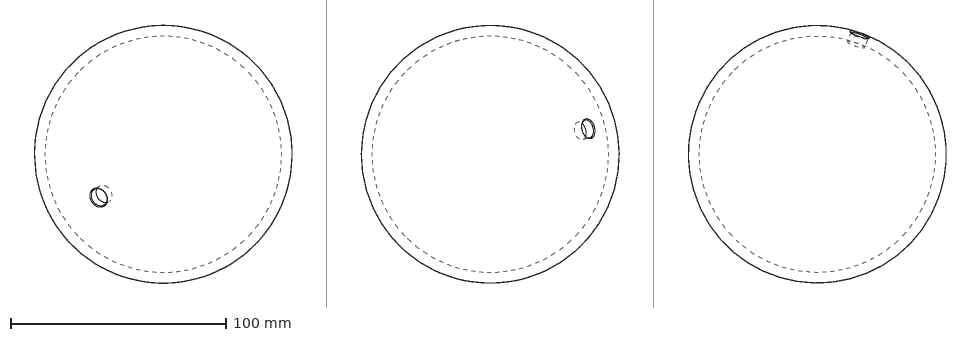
import cadquery as cq
import math

ball_diameter = 120.0
wall_thickness = 5.0
bore_diameter = 8.5
countersink_size = 0.5

ball_radius = ball_diameter / 2
cavity_radius = ball_radius - wall_thickness
bore_radius = bore_diameter / 2
countersink_radius = bore_radius + countersink_size


def make_upper_shell():
    """Hollow hemisphere on the +Z side of the XY plane, with its seam toward -X."""
    half_plane = cq.Plane(origin=(0, 0, 0), xDir=(-1, 0, 0), normal=(0, 1, 0))
    diagonal = math.sqrt(0.5)
    outer_middle = (ball_radius * diagonal, ball_radius * diagonal)
    inner_middle = (cavity_radius * diagonal, cavity_radius * diagonal)
    return (
        cq.Workplane(half_plane)
        .moveTo(cavity_radius, 0)
        .lineTo(ball_radius, 0)
        .threePointArc(outer_middle, (0, ball_radius))
        .lineTo(0, cavity_radius)
        .threePointArc(inner_middle, (cavity_radius, 0))
        .close()
        .revolve(360, (0, 0, 0), (0, 1, 0))
    )


def make_bore():
    """Tool for the bore through the -Y wall, with a countersink at its mouth."""
    mouth_y = -math.sqrt(ball_radius**2 - countersink_radius**2)
    countersink_end_y = mouth_y + countersink_size
    inner_y = -ball_radius + 2 * wall_thickness
    return (
        cq.Workplane("YZ")
        .moveTo(-ball_radius, 0)
        .lineTo(-ball_radius, countersink_radius)
        .lineTo(mouth_y, countersink_radius)
        .lineTo(countersink_end_y, bore_radius)
        .lineTo(inner_y, bore_radius)
        .lineTo(inner_y, 0)
        .close()
        .revolve(360, (0, 0, 0), (1, 0, 0))
    )


upper_half = make_upper_shell().cut(make_bore())
lower_half = upper_half.mirror("XY")
result = upper_half.union(lower_half, clean=False)